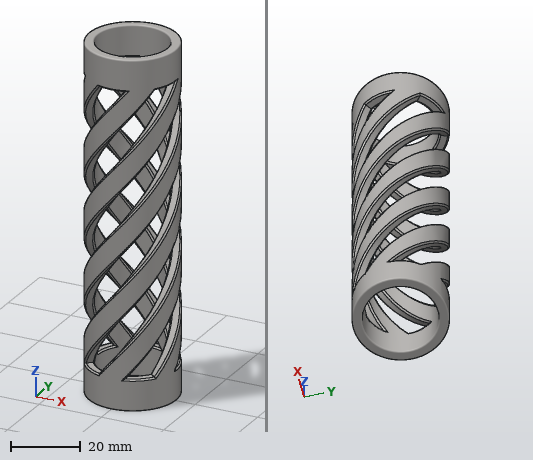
import cadquery as cq
import math

outer_radius = 14.0
inner_radius = 11.0
length = 110.0
end_fillet = 0.5

window_count = 5
band_height = 10.0
helix_lead = 100.0
window_chamfer = 0.5

window_pitch = 360.0 / window_count
window_angle = window_pitch / 2
window_height = length - 2 * band_height
window_twist = 360.0 * window_height / helix_lead

cutter_overlap = 1.0
cutter_inner_radius = inner_radius - cutter_overlap
cutter_outer_radius = outer_radius + cutter_overlap

radius_tolerance = 0.001


def polar(radius, angle):
    """Point in the XY plane at a radius and an angle in degrees."""
    return (radius * math.cos(math.radians(angle)), radius * math.sin(math.radians(angle)))


def make_tube():
    """Plain tube with rounded rims at both ends."""
    tube = cq.Workplane("XY").circle(outer_radius).circle(inner_radius).extrude(length)
    tube = tube.faces("<Z or >Z").fillet(end_fillet)
    return tube.rotate((0, 0, 0), (0, 0, 1), window_angle / 2)


def make_window_cutter(start_angle):
    """Ring sector with radial sides, twisted as it rises between the end bands."""
    mid_angle = start_angle + window_angle / 2
    end_angle = start_angle + window_angle
    return (
        cq.Workplane("XY", origin=(0, 0, band_height))
        .moveTo(*polar(cutter_inner_radius, start_angle))
        .lineTo(*polar(cutter_outer_radius, start_angle))
        .threePointArc(polar(cutter_outer_radius, mid_angle), polar(cutter_outer_radius, end_angle))
        .lineTo(*polar(cutter_inner_radius, end_angle))
        .threePointArc(polar(cutter_inner_radius, mid_angle), polar(cutter_inner_radius, start_angle))
        .close()
        .twistExtrude(window_height, window_twist)
    )


def is_window_rim_edge(edge):
    """True for a window edge that lies on the outer or the inner wall of the tube."""
    middle = edge.positionAt(0.5)
    radius = math.hypot(middle.x, middle.y)
    on_wall = any(abs(radius - wall) < radius_tolerance for wall in (inner_radius, outer_radius))
    box = edge.BoundingBox()
    within_windows = box.zmin > band_height / 2 and box.zmax < length - band_height / 2
    return on_wall and within_windows


def cut_windows(tube):
    """Cut the ring of windows and chamfer their rims on both walls."""
    for index in range(window_count):
        tube = tube.cut(make_window_cutter(index * window_pitch))
    return tube.edges().filter(is_window_rim_edge).chamfer(window_chamfer)


result = cut_windows(make_tube())